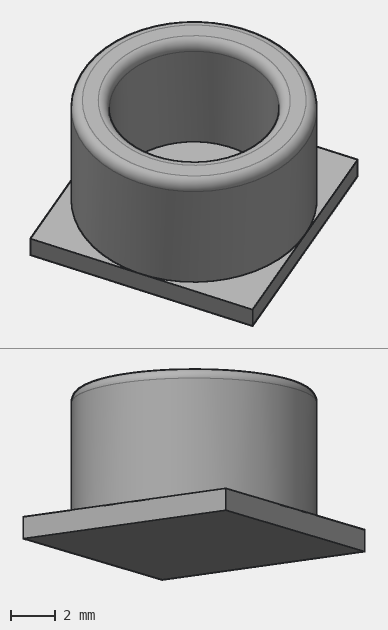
import cadquery as cq

side = 11.0
total_height = 7.0
plate_thickness = 1.0

collar_diameter = side
bore_diameter = 7.6
rim_radius = 0.5
collar_height = total_height - plate_thickness


def make_plate():
    """Plain square plate."""
    return cq.Workplane("XY").box(side, side, plate_thickness, centered=(True, True, False))


def make_collar():
    """Open-ended ring with both edges of its top rim rounded."""
    ring = (
        cq.Workplane("XY")
        .workplane(offset=plate_thickness)
        .circle(collar_diameter / 2)
        .circle(bore_diameter / 2)
        .extrude(collar_height)
    )
    return ring.faces(">Z").edges().fillet(rim_radius)


plate = make_plate()
collar = make_collar()

result = cq.Compound.makeCompound([plate.val(), collar.val()])